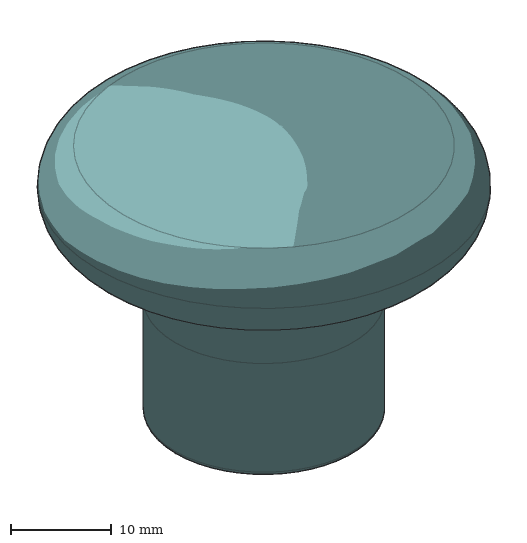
import cadquery as cq
import math

height = 34.0
head_radius = 22.5
neck_radius = 12.0
neck_height = 13.3
rim_height = 26.5
upper_round = 5.0
lower_round = 4.7
foot_round = 0.5

upper_x = head_radius - upper_round
lower_x = head_radius - lower_round

crown = height - rim_height
dome_radius = (upper_x**2 + crown**2 - upper_round**2) / (2 * (crown - upper_round))
dome_z = height - dome_radius

overhang = lower_x - neck_radius
rise = rim_height - neck_height
flare_radius = (overhang**2 + rise**2 - lower_round**2) / (2 * (overhang + lower_round))
flare_x = neck_radius + flare_radius


def on_arc(centre_x, centre_z, radius, angle):
    """Point of a circle in the section plane, angle measured from +X."""
    return (centre_x + radius * math.cos(angle), centre_z + radius * math.sin(angle))


dome_angle = math.atan2(rim_height - dome_z, upper_x)
flare_angle = math.atan2(neck_height - rim_height, flare_x - lower_x)
flare_back_angle = flare_angle + math.pi

flare_mid = on_arc(flare_x, neck_height, flare_radius, (flare_back_angle + math.pi) / 2)
flare_end = on_arc(lower_x, rim_height, lower_round, flare_angle)
lower_mid = on_arc(lower_x, rim_height, lower_round, flare_angle / 2)
upper_mid = on_arc(upper_x, rim_height, upper_round, dome_angle / 2)
dome_edge = on_arc(upper_x, rim_height, upper_round, dome_angle)
dome_mid = on_arc(0, dome_z, dome_radius, (dome_angle + math.pi / 2) / 2)

section = (
    cq.Workplane("XZ")
    .lineTo(neck_radius, 0)
    .lineTo(neck_radius, neck_height)
    .threePointArc(flare_mid, flare_end)
    .threePointArc(lower_mid, (head_radius, rim_height))
    .threePointArc(upper_mid, dome_edge)
    .threePointArc(dome_mid, (0, height))
    .close()
)
knob = section.revolve(360, (0, 0, 0), (0, 1, 0))

result = knob.faces("<Z").edges().fillet(foot_round)